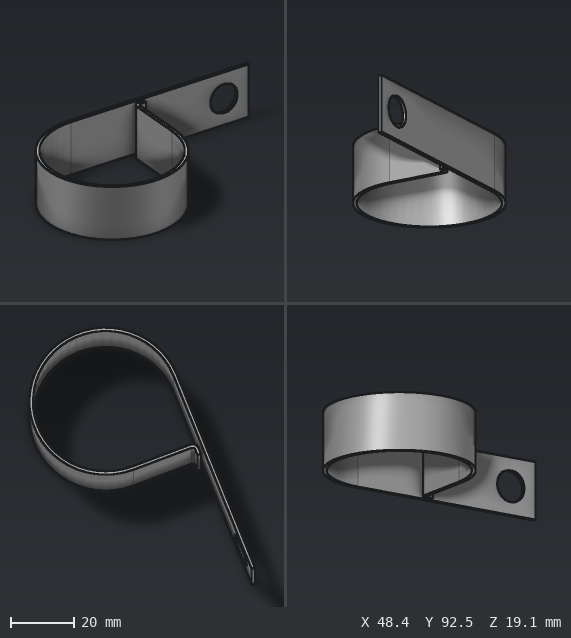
import cadquery as cq

total_length = 92.5
strip_width = 19.05
thickness = 1.2
loop_outer_radius = 24.2
lip_gap = 1.2
lip_height = 4.1
lip_inner_radius = 0.9
hole_diameter = 10.4
hole_end_distance = 9.5

loop_inner_radius = loop_outer_radius - thickness
leg_end_y = total_length - loop_outer_radius
lip_left_x = -loop_inner_radius + lip_gap
lip_right_x = lip_left_x + thickness
lip_outer_radius = lip_inner_radius + thickness
lip_tip_y = loop_inner_radius + lip_height
bend_x = lip_left_x + lip_outer_radius
bend_y = loop_inner_radius + lip_outer_radius


def bend_point(radius):
    """Middle of the quarter-circle lip bend at the given radius."""
    offset = radius * 0.5**0.5
    return (bend_x - offset, bend_y - offset)


def loop_point(radius):
    """Middle of the three-quarter loop at the given radius."""
    offset = radius * 0.5**0.5
    return (offset, -offset)


strip = (
    cq.Workplane("XY")
    .moveTo(-loop_outer_radius, leg_end_y)
    .lineTo(-loop_outer_radius, 0)
    .threePointArc(loop_point(loop_outer_radius), (0, loop_outer_radius))
    .lineTo(bend_x, loop_outer_radius)
    .threePointArc(bend_point(lip_inner_radius), (lip_right_x, bend_y))
    .lineTo(lip_right_x, lip_tip_y)
    .lineTo(lip_left_x, lip_tip_y)
    .lineTo(lip_left_x, bend_y)
    .threePointArc(bend_point(lip_outer_radius), (bend_x, loop_inner_radius))
    .lineTo(0, loop_inner_radius)
    .threePointArc(loop_point(loop_inner_radius), (-loop_inner_radius, 0))
    .lineTo(-loop_inner_radius, leg_end_y)
    .close()
    .extrude(strip_width / 2, both=True)
)

hole_cutter = (
    cq.Workplane("YZ", origin=(-loop_outer_radius, 0, 0))
    .center(leg_end_y - hole_end_distance, 0)
    .circle(hole_diameter / 2)
    .extrude(thickness)
)

result = strip.cut(hole_cutter)